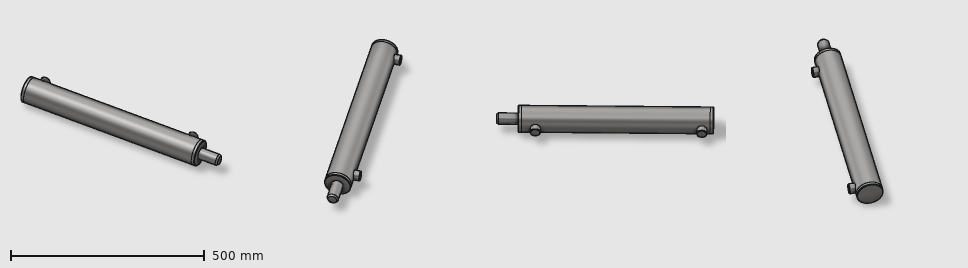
import cadquery as cq

total_length = 560.0
barrel_diameter = 70.0
gland_face_x = 504.5
closure_thickness = 9.0
closure_chamfer = 1.5

rod_diameter = 30.0
rod_chamfer_length = 5.0
rod_chamfer_depth = 3.5

port_diameter = 26.5
port_reach = 15.0
port_chamfer = 1.5
port_positions = (30.0, 460.0)

barrel_radius = barrel_diameter / 2
barrel_length = gland_face_x - 2 * closure_thickness
gland_x = gland_face_x - closure_thickness
rod_length = total_length - gland_x
rod_radius = rod_diameter / 2
port_tip_y = barrel_radius + port_reach


def x_cylinder(start_x, length, diameter):
    """Solid cylinder along +X from start_x."""
    return cq.Workplane("YZ", origin=(start_x, 0, 0)).circle(diameter / 2).extrude(length)


def make_barrel():
    return x_cylinder(closure_thickness, barrel_length, barrel_diameter)


def make_end_cap():
    return x_cylinder(0, closure_thickness, barrel_diameter).faces("<X").chamfer(closure_chamfer)


def make_rod():
    """Rod seated against the barrel end, with a long chamfer at its free end."""
    chamfer_start_x = total_length - rod_chamfer_length
    profile = (
        cq.Workplane("XY")
        .moveTo(gland_x, 0)
        .lineTo(gland_x, rod_radius)
        .lineTo(chamfer_start_x, rod_radius)
        .lineTo(total_length, rod_radius - rod_chamfer_depth)
        .lineTo(total_length, 0)
        .close()
    )
    return profile.revolve(360, (0, 0, 0), (1, 0, 0))


def make_gland():
    """Disc closing the rod end, bored for the rod."""
    disc = x_cylinder(gland_x, closure_thickness, barrel_diameter)
    disc = disc.faces(">X").chamfer(closure_chamfer)
    return disc.cut(x_cylinder(gland_x, rod_length, rod_diameter))


def make_port(center_x):
    """Round boss along +Y whose inner end is saddled onto the barrel."""
    boss = (
        cq.Workplane("XZ", origin=(center_x, 0, 0))
        .circle(port_diameter / 2)
        .extrude(-port_tip_y)
        .faces(">Y")
        .chamfer(port_chamfer)
    )
    return boss.cut(x_cylinder(0, gland_face_x, barrel_diameter))


barrel = make_barrel()
end_cap = make_end_cap()
gland = make_gland()
rod = make_rod()
ports = [make_port(center_x) for center_x in port_positions]

result = cq.Compound.makeCompound(
    [
        barrel.val(),
        end_cap.val(),
        gland.val(),
        rod.val(),
        *[port.val() for port in ports],
    ]
)